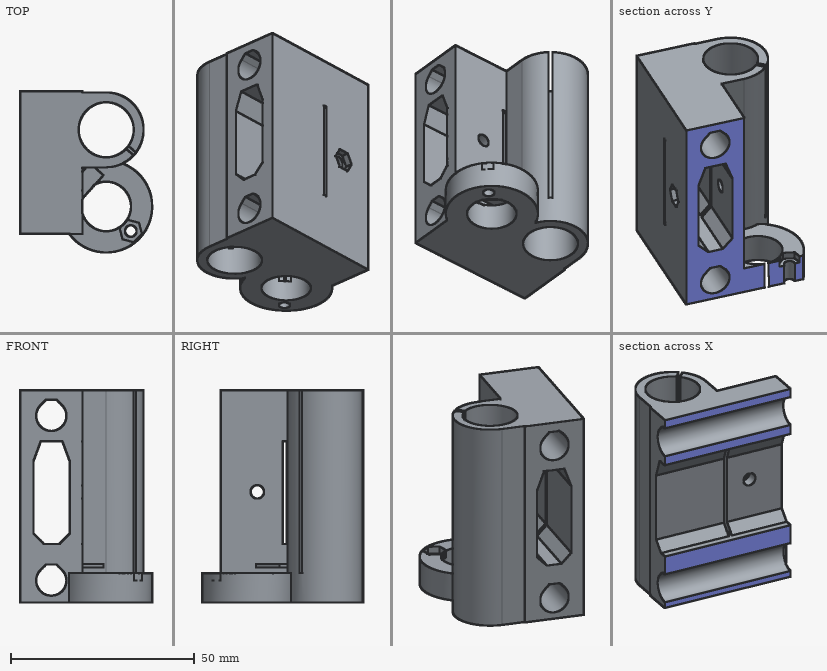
import cadquery as cq
import math

block_length = 17.0
block_depth = 39.0
height = 58.0

tube_x = 23.5
tube_y = 28.45
tube_radius = 10.25
tube_bore_diameter = 14.99
tube_slit_width = 1.0
tube_slit_angle = -40.0

ring_x = tube_x
ring_y = 7.5
ring_radius = 12.61
ring_bore_diameter = 13.5
ring_height = 8.0

nut_corner_diameter = 6.36
nut_sides = 6

ring_nut_offset = 9.5
ring_nut_angle = -45.0
ring_nut_depth = 2.0
ring_screw_diameter = 3.1

rod_diameter = 8.2
rod_x = block_length / 2
rod_heights = (6.0, 51.0)
rod_flat_top = 4.35

window_left = 3.65
window_right = 13.5
window_bottom = 16.0
window_top = 44.0
window_lower_chamfer = 2.85
window_upper_chamfer_width = 2.0
window_upper_chamfer_height = 5.4

slit_y = 17.5
slit_width = 1.0
clamp_y = 10.0
clamp_z = 30.22
clamp_screw_diameter = 3.6
clamp_nut_depth = 2.0

tongue_tip_x = 22.75
tongue_tip_y = 16.03
tongue_angle = 48.0
tongue_width = 4.9
tongue_length = 14.0
tongue_bottom = 9.55
tongue_thickness = 1.0


def make_block():
    return cq.Workplane("XY").box(block_length, block_depth, height, centered=False)


def make_tube():
    """Outer tube with a straight web of the same width reaching into the block."""
    round_part = cq.Workplane("XY").center(tube_x, tube_y).circle(tube_radius).extrude(height)
    web_length = tube_x - block_length / 2
    web = (
        cq.Workplane("XY")
        .center(tube_x - web_length / 2, tube_y)
        .rect(web_length, 2 * tube_radius)
        .extrude(height)
    )
    return round_part.union(web)


def make_ring():
    return cq.Workplane("XY").center(ring_x, ring_y).circle(ring_radius).extrude(ring_height)


def make_tongue():
    """Strip whose outer corner is the tip and whose root is buried in the block."""
    return (
        cq.Workplane("XY")
        .box(tongue_length, tongue_width, tongue_thickness, centered=False)
        .translate((-tongue_length, 0, tongue_bottom))
        .rotate((0, 0, 0), (0, 0, 1), tongue_angle)
        .translate((tongue_tip_x, tongue_tip_y, 0))
    )


def tube_bore():
    return cq.Workplane("XY").center(tube_x, tube_y).circle(tube_bore_diameter / 2).extrude(height)


def tube_slit():
    """Radial slit through the tube wall, from the ring's top face upward."""
    return (
        cq.Workplane("XY")
        .center(tube_radius, 0)
        .rect(2 * tube_radius, tube_slit_width)
        .extrude(height - ring_height)
        .rotate((0, 0, 0), (0, 0, 1), tube_slit_angle)
        .translate((tube_x, tube_y, ring_height))
    )


def ring_bore():
    return cq.Workplane("XY").center(ring_x, ring_y).circle(ring_bore_diameter / 2).extrude(ring_height)


def ring_nut_trap():
    """Screw hole through the ring with a hexagonal nut pocket in its top face."""
    angle = math.radians(ring_nut_angle)
    nut_x = ring_x + ring_nut_offset * math.cos(angle)
    nut_y = ring_y + ring_nut_offset * math.sin(angle)
    flat_turn = ring_nut_angle + 180 / nut_sides
    screw = cq.Workplane("XY").circle(ring_screw_diameter / 2).extrude(ring_height)
    pocket = (
        cq.Workplane("XY", origin=(0, 0, ring_height - ring_nut_depth))
        .polygon(nut_sides, nut_corner_diameter)
        .extrude(ring_nut_depth)
        .rotate((0, 0, 0), (0, 0, 1), flat_turn)
    )
    return screw.union(pocket).translate((nut_x, nut_y, 0))


def rod_hole(center_z):
    """Round hole with 45-degree upper flanks and a flat top."""
    radius = rod_diameter / 2
    tangent = radius * math.sin(math.radians(45))
    half_top = radius * math.sqrt(2) - rod_flat_top
    return (
        cq.Workplane("XZ", origin=(rod_x, 0, center_z))
        .moveTo(tangent, tangent)
        .lineTo(half_top, rod_flat_top)
        .lineTo(-half_top, rod_flat_top)
        .lineTo(-tangent, tangent)
        .threePointArc((0, -radius), (tangent, tangent))
        .close()
        .extrude(-block_depth)
    )


def window():
    outline = [
        (window_left + window_lower_chamfer, window_bottom),
        (window_right - window_lower_chamfer, window_bottom),
        (window_right, window_bottom + window_lower_chamfer),
        (window_right, window_top - window_upper_chamfer_height),
        (window_right - window_upper_chamfer_width, window_top),
        (window_left + window_upper_chamfer_width, window_top),
        (window_left, window_top - window_upper_chamfer_height),
        (window_left, window_bottom + window_lower_chamfer),
    ]
    return cq.Workplane("XZ").polyline(outline).close().extrude(-block_depth)


def clamp_slit():
    return (
        cq.Workplane("YZ")
        .center(slit_y, (window_bottom + window_top) / 2)
        .rect(slit_width, window_top - window_bottom)
        .extrude(block_length)
    )


def clamp_nut_trap():
    """Screw hole through the block along X with a hexagonal nut pocket in the -X face."""
    face = cq.Workplane("YZ").center(clamp_y, clamp_z)
    screw = face.circle(clamp_screw_diameter / 2).extrude(block_length)
    pocket = face.polygon(nut_sides, nut_corner_diameter).extrude(clamp_nut_depth)
    return screw.union(pocket)


result = make_block().union(make_tube()).union(make_ring()).union(make_tongue())
cutters = [
    tube_bore(),
    tube_slit(),
    ring_bore(),
    ring_nut_trap(),
    window(),
    clamp_slit(),
    clamp_nut_trap(),
]
cutters += [rod_hole(center_z) for center_z in rod_heights]
for cutter in cutters:
    result = result.cut(cutter)